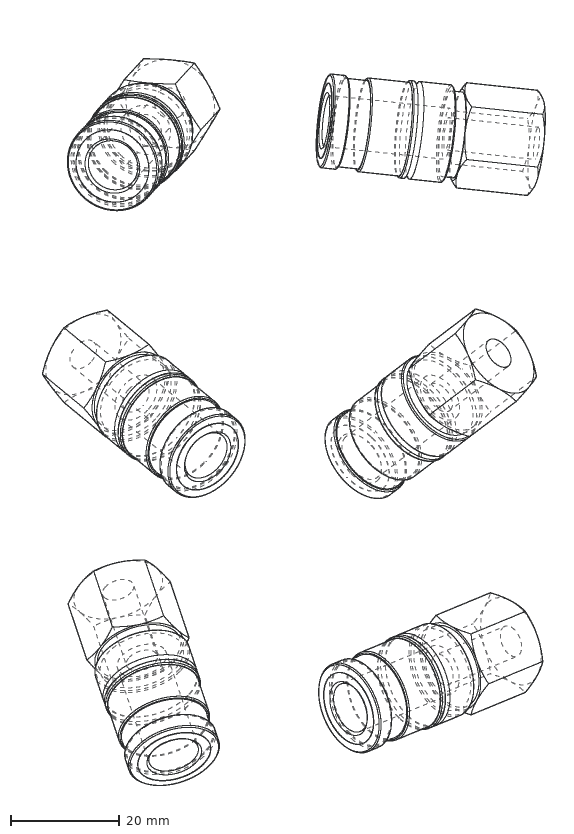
import cadquery as cq
import math


total_length = 40.0
insert_protrusion = 0.1
lip_length = 3.1
grip_groove_length = 3.9
barrel_length = 7.8
collar_length = 8.2
neck_length = 2.0

lip_front = insert_protrusion
lip_back = lip_front + lip_length
barrel_front = lip_back + grip_groove_length
collar_front = barrel_front + barrel_length
collar_back = collar_front + collar_length
nut_start = collar_back + neck_length
nut_length = total_length - nut_start

insert_radius = 14.0 / 2
lip_radius = 17.5 / 2
barrel_radius = lip_radius
grip_groove_radius = 16.5 / 2
collar_radius = 18.2 / 2
neck_radius = 16.0 / 2
edge_chamfer = 0.25

ring_groove_width = 1.1
ring_groove_depth = 0.4
ring_groove_setback = 1.0
ring_groove_front = collar_front + ring_groove_setback

across_flats = 17.0
hexagon_sides = 6
across_corners = across_flats / math.cos(math.pi / hexagon_sides)
nut_chamfer_angle = 30.0

full_turn = 360
axis_start = (0, 0, 0)
axis_end = (0, 1, 0)

through_radius = 6.0 / 2
socket_radius = 9.5 / 2
socket_mouth_chamfer = 0.5
socket_depth = collar_back


def make_ring(radius, front, back):
    """Solid disc about the Y axis between two stations."""
    return cq.Workplane("XZ", origin=(0, back, 0)).circle(radius).extrude(back - front)


def make_chamfered_ring(radius, front, back, chamfered_edges="%CIRCLE"):
    """Disc about the Y axis with its chosen rim edges broken."""
    return make_ring(radius, front, back).edges(chamfered_edges).chamfer(edge_chamfer)


def make_sleeve():
    """Front insert, lip, grip groove, barrel, collar and neck."""
    insert = make_ring(insert_radius, 0, lip_back)
    lip = make_chamfered_ring(lip_radius, lip_front, lip_back)
    grip_groove = make_ring(grip_groove_radius, lip_back, barrel_front)
    barrel = make_chamfered_ring(barrel_radius, barrel_front, collar_front, "<Y")
    collar = make_chamfered_ring(collar_radius, collar_front, collar_back)
    neck = make_ring(neck_radius, collar_back, nut_start)
    return insert.union(lip).union(grip_groove).union(barrel).union(collar).union(neck)


def make_ring_groove():
    """Ring with an arc-shaped section, cut into the collar surface."""
    middle = ring_groove_front + ring_groove_width / 2
    back = ring_groove_front + ring_groove_width
    return (
        cq.Workplane("XY")
        .moveTo(collar_radius, ring_groove_front)
        .threePointArc((collar_radius - ring_groove_depth, middle), (collar_radius, back))
        .close()
        .revolve(full_turn, axis_start, axis_end)
    )


def make_nut():
    """Hexagonal prism with conical corner chamfers at both ends."""
    hexagon = (
        cq.Workplane("XZ", origin=(0, total_length, 0))
        .polygon(hexagon_sides, across_corners)
        .extrude(nut_length)
    )
    flat_radius = across_flats / 2
    corner_radius = across_corners / 2
    chamfer_length = (corner_radius - flat_radius) * math.tan(math.radians(nut_chamfer_angle))
    envelope = (
        cq.Workplane("XY")
        .moveTo(0, nut_start)
        .lineTo(flat_radius, nut_start)
        .lineTo(corner_radius, nut_start + chamfer_length)
        .lineTo(corner_radius, total_length - chamfer_length)
        .lineTo(flat_radius, total_length)
        .lineTo(0, total_length)
        .close()
        .revolve(full_turn, axis_start, axis_end)
    )
    return hexagon.intersect(envelope)


def make_bores():
    """Through hole and the wider front socket with its flared mouth."""
    mouth_radius = socket_radius + socket_mouth_chamfer
    return (
        cq.Workplane("XY")
        .moveTo(0, 0)
        .lineTo(mouth_radius, 0)
        .lineTo(socket_radius, socket_mouth_chamfer)
        .lineTo(socket_radius, socket_depth)
        .lineTo(through_radius, socket_depth)
        .lineTo(through_radius, total_length)
        .lineTo(0, total_length)
        .close()
        .revolve(full_turn, axis_start, axis_end)
    )


result = make_sleeve().cut(make_ring_groove()).union(make_nut()).cut(make_bores())